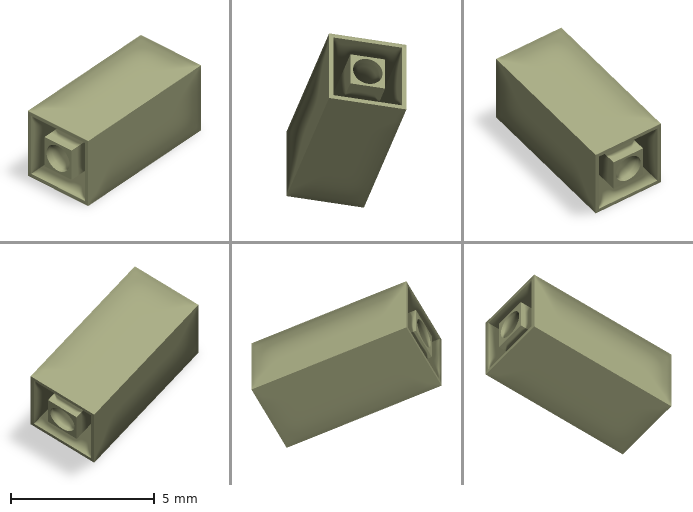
import cadquery as cq

length = 6.0
outer_side = 2.77
wall = 0.15
core_side = 1.25
bore_diameter = 1.055

inner_side = outer_side - 2 * wall


def end_plane():
    """Sketch plane on the -Y end, with its normal pointing toward -Y."""
    return cq.Workplane("XZ", origin=(0, -length / 2, 0))


def make_sleeve():
    """Square thin-walled tube, open at both ends."""
    return end_plane().rect(outer_side, outer_side).rect(inner_side, inner_side).extrude(-length)


def make_core():
    """Square bar on the sleeve axis with a round through bore."""
    return end_plane().rect(core_side, core_side).circle(bore_diameter / 2).extrude(-length)


sleeve = make_sleeve()
core = make_core()

result = cq.Compound.makeCompound([sleeve.val(), core.val()])